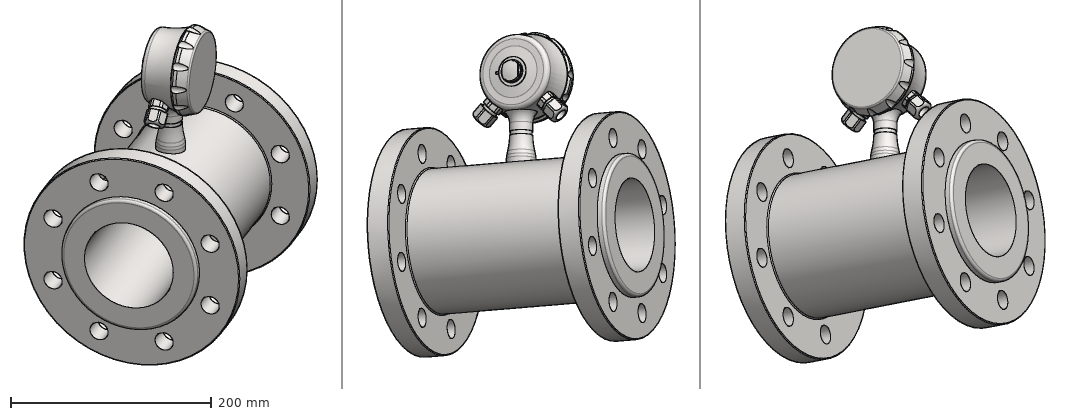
import cadquery as cq
import math

LENGTH = 250.0
BORE_DIA = 94.0
TUBE_DIA = 146.0
FLANGE_DIA = 228.6
FLANGE_THICK = 24.0
FLANGE_CHAMFER = 1.0
FACE_DIA = 144.0
FACE_HEIGHT = 8.0
FACE_FILLET = 3.0
WELD_LEG = 1.2
BOLT_COUNT = 8
BOLT_DIA = 19.1
BOLT_CIRCLE_DIA = 180.0

STEM_ROOT_Z = 60.0
STEM_FOOT_DIA = 30.0
STEM_FOOT_TOP_Z = 76.8
STEM_BEVEL_DIA = 29.2
STEM_BEVEL_Z = 80.0
STEM_SHOULDER_DIA = 27.6
STEM_SHOULDER_Z = 84.0
STEM_DIA = 23.5
NECK_DIA = 22.0
NECK_BOTTOM_Z = 100.3
NECK_TOP_Z = 104.3
FLARE_START_Z = 112.5
FLARE_TOP_DIA = 33.0
FLARE_TOP_Z = 124.0

HEAD_Z = 161.93
BACK_X = -19.0
BACK_FILLET = 5.2
BODY_BACK_DIA = 77.2
BODY_FLARE_RADIUS = 89.0
BODY_FRONT_X = 14.9
CAP_BACK_X = 15.6
CAP_BACK_DIA = 88.0
CAP_DIA = 92.0
CAP_RIM_X = (18.2, 21.7)
CAP_FACE_DIA = 81.2
CAP_FACE_X = 33.9
CAP_FACE_FILLET = 1.7
CONE_BASE_DIA = 52.4
CONE_TOP_DIA = 30.0
CONE_TOP_X = -20.5
STEP_X = -21.5
NOTCH_COUNT = 12
NOTCH_RADIUS = 4.6
NOTCH_BACK_FLOOR = 44.2
NOTCH_FACE_FLOOR = 42.3
NOTCH_OVERRUN = 0.1

SOCKET_FLATS = 3.0
SOCKET_Y = 17.4
SOCKET_DEPTH = 2.0

BUTTON_BASE_DIA = 23.5
BUTTON_BASE_X = -22.3
BUTTON_DIA = 21.0
BUTTON_X = -26.7
BUTTON_CROWN = 1.4
BUTTON_FLATS = 16.69
BUTTON_FLATS_X = -24.7

GLAND_X = -2.0
GLAND_TILT = 45.0
GLAND_ROOT = 34.0
LOCKNUT_FLATS = 18.8
LOCKNUT_DIA = 20.2
LOCKNUT_END = 45.2
GLAND_NECK_DIA = 16.69
NUT_START = 48.5
NUT_END = 63.0
NUT_FLATS = 20.0
NUT_DIA = 22.0
NUT_FILLET = 4.0
CABLE_BORE_DIA = 12.0


def flange():
    """Flange at the +Y end with its weld, raised face and bolt holes."""
    end_y = LENGTH / 2
    outer_y = end_y - FACE_HEIGHT
    inner_y = outer_y - FLANGE_THICK
    tube_r = TUBE_DIA / 2
    face_r = FACE_DIA / 2
    flange_r = FLANGE_DIA / 2
    ring = (
        cq.Workplane("XY")
        .moveTo(0, inner_y - WELD_LEG)
        .lineTo(tube_r, inner_y - WELD_LEG)
        .lineTo(tube_r + WELD_LEG, inner_y)
        .lineTo(flange_r - FLANGE_CHAMFER, inner_y)
        .lineTo(flange_r, inner_y + FLANGE_CHAMFER)
        .lineTo(flange_r, outer_y - FLANGE_CHAMFER)
        .lineTo(flange_r - FLANGE_CHAMFER, outer_y)
        .lineTo(face_r, outer_y)
        .lineTo(face_r, end_y - FACE_FILLET)
        .radiusArc((face_r - FACE_FILLET, end_y), -FACE_FILLET)
        .lineTo(0, end_y)
        .close()
        .revolve(360, (0, 0, 0), (0, 1, 0))
    )
    holes = (
        cq.Workplane("XZ", origin=(0, end_y, 0))
        .polarArray(BOLT_CIRCLE_DIA / 2, 180 / BOLT_COUNT, 360, BOLT_COUNT)
        .circle(BOLT_DIA / 2)
        .extrude(FACE_HEIGHT + FLANGE_THICK)
    )
    return ring.cut(holes)


def flanged_tube():
    """Straight tube with a flange at each end and a bore right through."""
    weld_to_weld = LENGTH - 2 * (FACE_HEIGHT + FLANGE_THICK + WELD_LEG)
    tube = cq.Workplane("XZ").circle(TUBE_DIA / 2).extrude(weld_to_weld / 2, both=True)
    bore = cq.Workplane("XZ").circle(BORE_DIA / 2).extrude(LENGTH / 2, both=True)
    end = flange()
    return tube.union(end).union(end.mirror("XZ")).cut(bore)


def stem():
    """Turned post from the tube wall up into the housing."""
    stem_r = STEM_DIA / 2
    neck_r = NECK_DIA / 2
    shoulder_r = STEM_SHOULDER_DIA / 2
    blend_in = shoulder_r - stem_r
    blend_rise = NECK_BOTTOM_Z - STEM_SHOULDER_Z
    blend_radius = (blend_in**2 + blend_rise**2) / (2 * blend_in)
    return (
        cq.Workplane("XZ")
        .moveTo(0, STEM_ROOT_Z)
        .lineTo(STEM_FOOT_DIA / 2, STEM_ROOT_Z)
        .lineTo(STEM_FOOT_DIA / 2, STEM_FOOT_TOP_Z)
        .lineTo(STEM_BEVEL_DIA / 2, STEM_BEVEL_Z)
        .lineTo(shoulder_r, STEM_SHOULDER_Z)
        .radiusArc((stem_r, NECK_BOTTOM_Z), blend_radius)
        .lineTo(neck_r, NECK_BOTTOM_Z)
        .lineTo(neck_r, NECK_TOP_Z)
        .lineTo(stem_r, NECK_TOP_Z)
        .lineTo(stem_r, FLARE_START_Z)
        .tangentArcPoint((FLARE_TOP_DIA / 2, FLARE_TOP_Z), relative=False)
        .lineTo(0, FLARE_TOP_Z)
        .close()
        .revolve(360, (0, 0, 0), (0, 1, 0))
    )


def flare_radius_at(run):
    """Radius of the body flare at a distance along X from its tangent start."""
    drop = BODY_FLARE_RADIUS - math.sqrt(BODY_FLARE_RADIUS**2 - run**2)
    return BODY_BACK_DIA / 2 + drop


def grip_notch():
    """Round cutter above the X axis whose floor slopes inwards towards the cap face."""
    run = CAP_FACE_X - CAP_BACK_X
    direction = cq.Vector(run, 0, NOTCH_FACE_FLOOR - NOTCH_BACK_FLOOR)
    start = cq.Vector(CAP_BACK_X, 0, NOTCH_BACK_FLOOR + NOTCH_RADIUS) - direction * NOTCH_OVERRUN
    length = direction.Length * (1 + 2 * NOTCH_OVERRUN)
    return cq.Workplane(cq.Solid.makeCylinder(NOTCH_RADIUS, length, start, direction))


def head():
    """Revolve the housing body and cap, then cut the grip notches in the cap."""
    back_r = BODY_BACK_DIA / 2
    flare_start_x = BACK_X + BACK_FILLET
    flare_run = BODY_FRONT_X - flare_start_x
    flare_mid = (flare_start_x + flare_run / 2, flare_radius_at(flare_run / 2))
    flare_end_r = flare_radius_at(flare_run)
    fillet_mid_offset = BACK_FILLET * (1 - math.sqrt(0.5))
    fillet_mid = (BACK_X + fillet_mid_offset, back_r - fillet_mid_offset)
    cap_r = CAP_DIA / 2
    face_r = CAP_FACE_DIA / 2
    solid = (
        cq.Workplane("XY")
        .moveTo(STEP_X, 0)
        .lineTo(STEP_X, CONE_TOP_DIA / 2)
        .lineTo(CONE_TOP_X, CONE_TOP_DIA / 2)
        .lineTo(BACK_X, CONE_BASE_DIA / 2)
        .lineTo(BACK_X, back_r - BACK_FILLET)
        .threePointArc(fillet_mid, (flare_start_x, back_r))
        .threePointArc(flare_mid, (BODY_FRONT_X, flare_end_r))
        .lineTo(CAP_BACK_X, flare_end_r)
        .lineTo(CAP_BACK_X, CAP_BACK_DIA / 2)
        .lineTo(CAP_RIM_X[0], cap_r)
        .lineTo(CAP_RIM_X[1], cap_r)
        .lineTo(CAP_FACE_X - CAP_FACE_FILLET, face_r + CAP_FACE_FILLET)
        .radiusArc((CAP_FACE_X, face_r), CAP_FACE_FILLET)
        .lineTo(CAP_FACE_X, 0)
        .close()
        .revolve(360, (0, 0, 0), (1, 0, 0))
    )
    for index in range(NOTCH_COUNT):
        solid = solid.cut(grip_notch().rotate((0, 0, 0), (1, 0, 0), index * 360 / NOTCH_COUNT))
    return solid


def button():
    """Crowned button with two flats, standing on a round base."""
    base_r = BUTTON_BASE_DIA / 2
    button_r = BUTTON_DIA / 2
    crown_r = (button_r**2 + BUTTON_CROWN**2) / (2 * BUTTON_CROWN)
    solid = (
        cq.Workplane("XY")
        .moveTo(BACK_X, 0)
        .lineTo(BACK_X, base_r)
        .lineTo(BUTTON_BASE_X, base_r)
        .lineTo(BUTTON_BASE_X, button_r)
        .lineTo(BUTTON_X, button_r)
        .radiusArc((BUTTON_X - BUTTON_CROWN, 0), -crown_r)
        .close()
        .revolve(360, (0, 0, 0), (1, 0, 0))
    )
    for side in (1, -1):
        relief = cq.Workplane("XY").box(BUTTON_DIA, BUTTON_DIA, BUTTON_DIA)
        offset_y = side * (BUTTON_FLATS + BUTTON_DIA) / 2
        solid = solid.cut(relief.translate((BUTTON_FLATS_X - BUTTON_DIA / 2, offset_y, 0)))
    return solid


def round_bar(dia, start, end):
    """Round bar along Z."""
    return cq.Workplane("XY", origin=(0, 0, start)).circle(dia / 2).extrude(end - start)


def hex_bar(flats, start, end):
    """Hexagonal bar along Z with corners on the X axis."""
    corners = flats / math.cos(math.radians(30))
    return cq.Workplane("XY", origin=(0, 0, start)).polygon(6, corners).extrude(end - start)


def gland():
    """Cable gland along +Z: locknut, neck and a rounded, bored cap nut."""
    locknut_blank = round_bar(LOCKNUT_DIA, GLAND_ROOT, LOCKNUT_END)
    locknut = hex_bar(LOCKNUT_FLATS, GLAND_ROOT, LOCKNUT_END).intersect(locknut_blank)
    neck = round_bar(GLAND_NECK_DIA, GLAND_ROOT, NUT_START)
    nut_blank = round_bar(NUT_DIA, NUT_START, NUT_END).faces(">Z").edges().fillet(NUT_FILLET)
    nut = hex_bar(NUT_FLATS, NUT_START, NUT_END).intersect(nut_blank)
    bore = round_bar(CABLE_BORE_DIA, NUT_START, NUT_END)
    return nut.cut(bore).union(neck).union(locknut)


def key_socket():
    """Hexagonal cutter that opens in the conical back of the housing."""
    corners = SOCKET_FLATS / math.cos(math.radians(30))
    return (
        cq.Workplane("YZ", origin=(STEP_X, SOCKET_Y, 0))
        .polygon(6, corners)
        .extrude(CONE_TOP_X - STEP_X + SOCKET_DEPTH)
    )


def housing():
    """Head with its button, key socket and a downward-tilted gland on each side, axis at Z = 0."""
    assembled = head().cut(key_socket()).union(button())
    for side in (1, -1):
        tilt = side * (180 - GLAND_TILT)
        placed = gland().rotate((0, 0, 0), (1, 0, 0), tilt).translate((GLAND_X, 0, 0))
        assembled = assembled.union(placed)
    return assembled


result = flanged_tube().union(stem()).union(housing().translate((0, 0, HEAD_Z)))